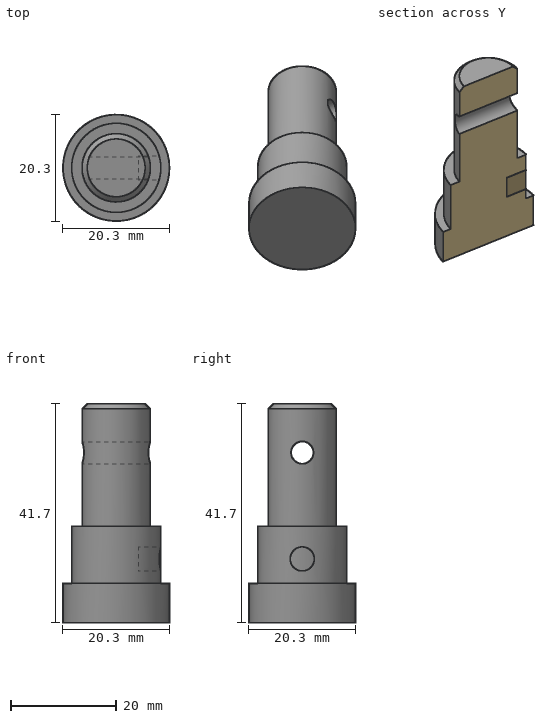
import cadquery as cq

total_height = 41.7
flange_diameter = 20.3
flange_height = 7.5
collar_diameter = 17.0
collar_top = 18.45
shank_diameter = 13.0
tip_chamfer = 1.0

cross_hole_diameter = 4.2
cross_hole_height = 32.4

plug_diameter = 4.6
plug_height = 12.2
plug_inner_end = 4.17


def cylinder(diameter, bottom, top):
    """Cylinder on the Z axis between two heights."""
    return cq.Workplane("XY").workplane(offset=bottom).circle(diameter / 2).extrude(top - bottom)


def radial_cylinder(diameter, height, start, end):
    """Cylinder parallel to X at the given height, from X = start to X = end."""
    return (
        cq.Workplane("YZ", origin=(start, 0, height))
        .circle(diameter / 2)
        .extrude(end - start)
    )


def make_plug():
    """Round plug whose outer end follows the collar's curved surface."""
    blank = radial_cylinder(plug_diameter, plug_height, plug_inner_end, flange_diameter / 2)
    return blank.intersect(cylinder(collar_diameter, flange_height, collar_top))


def make_stud(plug):
    """Flange, collar and chamfered shank, with the cross hole and the plug's seat."""
    flange = cylinder(flange_diameter, 0, flange_height)
    collar = cylinder(collar_diameter, flange_height, collar_top)
    shank = cylinder(shank_diameter, collar_top, total_height).faces(">Z").chamfer(tip_chamfer)
    cross_hole = radial_cylinder(
        cross_hole_diameter, cross_hole_height, -shank_diameter, shank_diameter
    )
    return flange.union(collar).union(shank).cut(cross_hole).cut(plug)


plug = make_plug()
stud = make_stud(plug)

result = cq.Compound.makeCompound([stud.solids().val(), plug.solids().val()])